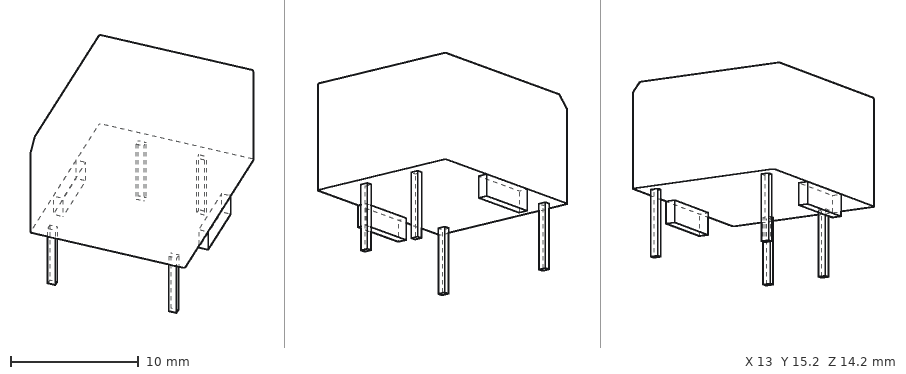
import cadquery as cq

HOUSING_WIDTH = 13.0
HOUSING_LENGTH = 15.2
HOUSING_HEIGHT = 8.8
BEVEL = 1.0
EDGE_RADIUS = 0.2

TAB_THICKNESS = 0.8
TAB_LENGTH = 5.0
TAB_HEIGHT = 1.8

PIN_WIDTH = 0.65
PIN_DEPTH = 0.47
PIN_LENGTH = 5.4
PIN_PITCH = 2.54
ROW_SPACING = 12.7


def hanging_block(width, length, height, x, y):
    """A rectangular block hanging from the housing underside, centred on (x, y)."""
    return (
        cq.Workplane("XY")
        .center(x, y)
        .rect(width, length)
        .extrude(-height)
    )


def make_housing():
    """A block with a bevelled top front edge, rounded on every edge except the bottom ones."""
    block = cq.Workplane("XY").box(
        HOUSING_WIDTH, HOUSING_LENGTH, HOUSING_HEIGHT, centered=(True, True, False)
    )
    bevelled = block.faces(">Z").edges("<Y").chamfer(BEVEL)
    return bevelled.edges("not <Z").fillet(EDGE_RADIUS)


def make_tab(side):
    """A standoff tab whose outer face is flush with the housing; side is -1 or +1 along X."""
    x = side * (HOUSING_WIDTH - TAB_THICKNESS) / 2
    return hanging_block(TAB_THICKNESS, TAB_LENGTH, TAB_HEIGHT, x, 0)


def make_pin(x, y):
    """A rectangular contact pin."""
    return hanging_block(PIN_WIDTH, PIN_DEPTH, PIN_LENGTH, x, y)


housing = make_housing()
tabs = [make_tab(side) for side in (-1, 1)]

front_row_x = 2 * PIN_PITCH
back_row_x = PIN_PITCH
pins = []
for side in (-1, 1):
    pins.append(make_pin(side * front_row_x, -ROW_SPACING / 2))
    pins.append(make_pin(side * back_row_x, ROW_SPACING / 2))

result = cq.Compound.makeCompound(
    [
        housing.val(),
        *[tab.val() for tab in tabs],
        *[pin.val() for pin in pins],
    ]
)